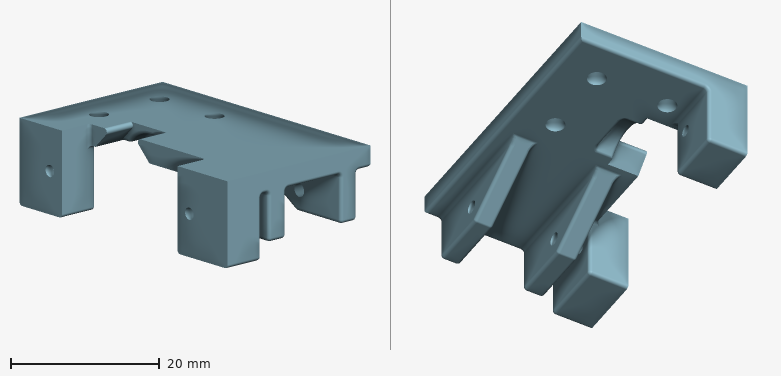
import cadquery as cq
import math


LENGTH = 41.7
WIDTH = 26.0
HEIGHT = 12.25
PLATE_THICKNESS = 3.0
PLATE_FRONT_Y = 5.05
LEG_BACK_Y = 6.15
LEFT_LEG_WIDTH = 8.5
RIGHT_LEG_WIDTH = 10.0
EDGE_RADIUS = 0.5

RIB_START_X = 21.55
RIB_FLAT_X = 32.65
RIB_DEPTH = 10.0
RIB_RANGES_Y = [(7.5, 10.65), (20.6, 23.52)]
RIB_HOLE_DIAMETER = 1.9
RIB_HOLE_X = 33.35
RIB_HOLE_DEPTH = 7.0

SLOT_CENTER_X = 15.05
SLOT_BACK_Y = 9.8
SLOT_BOTTOM_HALF_WIDTH = 5.42
SLOT_TOP_HALF_WIDTH = SLOT_BOTTOM_HALF_WIDTH - PLATE_THICKNESS
POCKET_RADIUS = 4.92
POCKET_AXIS_DEPTH = 6.0
POCKET_LENGTH = 3.0
POCKET_MOUTH_HALF_WIDTH = math.sqrt(POCKET_RADIUS**2 - (POCKET_AXIS_DEPTH - PLATE_THICKNESS) ** 2)

PLATE_HOLE_DIAMETER = 2.7
PLATE_HOLE_X = 6.0
PLATE_HOLE_Y = 9.0
PLATE_HOLE_SPACING = 11.0
LEG_HOLE_DIAMETER = 1.7
LEG_HOLE_XS = [6.1, 34.08]
LEG_HOLE_DEPTH = 6.17

SMALL_GAP = 0.05


def block(x_range, y_range, depth):
    """Box that hangs from the top face down to the given depth."""
    size_x = x_range[1] - x_range[0]
    size_y = y_range[1] - y_range[0]
    return (
        cq.Workplane("XY")
        .box(size_x, size_y, depth, centered=False)
        .translate((x_range[0], y_range[0], -depth))
    )


def along_y(y_start, y_end, sketch):
    """Extrude an XZ sketch from y_start to y_end."""
    plane = cq.Workplane("XZ", origin=(0, y_start, 0))
    return sketch(plane).extrude(y_start - y_end)


def edges_in(x_range, y_range, z_range):
    """Selector for edges whose centres lie inside the given ranges."""
    low, high = zip(x_range, y_range, z_range)
    return cq.selectors.BoxSelector(low, high)


def make_plate_and_legs():
    plate = block((0, LENGTH), (PLATE_FRONT_Y, WIDTH), PLATE_THICKNESS)
    left = block((0, LEFT_LEG_WIDTH), (0, LEG_BACK_Y), HEIGHT)
    right = block((LENGTH - RIGHT_LEG_WIDTH, LENGTH), (0, LEG_BACK_Y), HEIGHT)
    return plate.union(left).union(right)


def make_rib(y_start, y_end):
    def outline(plane):
        return plane.polyline([
            (RIB_START_X, -PLATE_THICKNESS),
            (RIB_FLAT_X, -RIB_DEPTH),
            (LENGTH, -RIB_DEPTH),
            (LENGTH, -PLATE_THICKNESS),
        ]).close()

    return along_y(y_start, y_end, outline)


def around(value):
    """Narrow range that holds one coordinate value."""
    return (value - SMALL_GAP, value + SMALL_GAP)


def around_width(center, half_width):
    """Range that reaches half_width to each side of center."""
    return (center - half_width, center + half_width)


def round_edges(solid, selectors, radius):
    """Fillet all selected edges together; an edge picked twice counts once."""
    chosen = solid.edges(selectors[0])
    for selector in selectors[1:]:
        chosen = chosen.add(solid.edges(selector))
    return chosen.fillet(radius)


def round_inner_corners(solid):
    bottom = around(-PLATE_THICKNESS)
    between_sides = (SMALL_GAP, LENGTH - SMALL_GAP)
    opening = (LEFT_LEG_WIDTH - SMALL_GAP, LENGTH - RIGHT_LEG_WIDTH + SMALL_GAP)
    leg_side_y = (PLATE_FRONT_Y + SMALL_GAP, LEG_BACK_Y - SMALL_GAP)
    selectors = [
        edges_in(around(x), around(PLATE_FRONT_Y), (-PLATE_THICKNESS, 0))
        for x in (LEFT_LEG_WIDTH, LENGTH - RIGHT_LEG_WIDTH)
    ]
    selectors.append(edges_in(between_sides, around(LEG_BACK_Y), bottom))
    selectors.append(edges_in(opening, leg_side_y, bottom))
    for y_start, y_end in RIB_RANGES_Y:
        selectors.append(edges_in(between_sides, (y_start - SMALL_GAP, y_end + SMALL_GAP), bottom))
    return round_edges(solid, selectors, EDGE_RADIUS)


def round_outer_edges(solid):
    full_x = (-SMALL_GAP, LENGTH + SMALL_GAP)
    behind_front = (SMALL_GAP, WIDTH + SMALL_GAP)
    behind_legs = (LEG_BACK_Y + EDGE_RADIUS + SMALL_GAP, WIDTH)
    below_plate = (-HEIGHT - SMALL_GAP, -PLATE_THICKNESS - EDGE_RADIUS - SMALL_GAP)
    lower_edges = (-HEIGHT - SMALL_GAP, -PLATE_THICKNESS + SMALL_GAP)
    selectors = [
        edges_in(around(0), behind_front, lower_edges),
        edges_in(around(LENGTH), behind_front, lower_edges),
        edges_in(full_x, around(WIDTH), around(-PLATE_THICKNESS)),
        edges_in(full_x, behind_front, around(-HEIGHT)),
        edges_in(full_x, around(LEG_BACK_Y), below_plate),
        edges_in((RIB_START_X, LENGTH + SMALL_GAP), behind_legs, below_plate),
    ]
    return round_edges(solid, selectors, EDGE_RADIUS)


def cut_slot(solid):
    def outline(plane):
        return plane.polyline([
            (SLOT_CENTER_X - SLOT_BOTTOM_HALF_WIDTH, -PLATE_THICKNESS),
            (SLOT_CENTER_X - SLOT_TOP_HALF_WIDTH, 0),
            (SLOT_CENTER_X + SLOT_TOP_HALF_WIDTH, 0),
            (SLOT_CENTER_X + SLOT_BOTTOM_HALF_WIDTH, -PLATE_THICKNESS),
        ]).close()

    slotted = solid.cut(along_y(PLATE_FRONT_Y, SLOT_BACK_Y, outline))
    slot_x = around_width(SLOT_CENTER_X, SLOT_BOTTOM_HALF_WIDTH)
    slot_y = (PLATE_FRONT_Y + SMALL_GAP, SLOT_BACK_Y - SMALL_GAP)
    return slotted.edges(edges_in(slot_x, slot_y, around(0))).fillet(EDGE_RADIUS)


def cut_pocket(solid):
    end_y = SLOT_BACK_Y + POCKET_LENGTH

    def outline(plane):
        return plane.center(SLOT_CENTER_X, -POCKET_AXIS_DEPTH).circle(POCKET_RADIUS)

    pocketed = solid.cut(along_y(SLOT_BACK_Y, end_y, outline))
    rim_x = (
        SLOT_CENTER_X - SLOT_BOTTOM_HALF_WIDTH,
        SLOT_CENTER_X + POCKET_MOUTH_HALF_WIDTH + SMALL_GAP,
    )
    pocket_x = around_width(SLOT_CENTER_X, SMALL_GAP)
    pocket_y = (SLOT_BACK_Y - SMALL_GAP, end_y + SMALL_GAP)
    selectors = [
        edges_in(rim_x, pocket_y, around(-PLATE_THICKNESS)),
        edges_in(pocket_x, pocket_y, (-PLATE_THICKNESS, 0)),
    ]
    return round_edges(pocketed, selectors, EDGE_RADIUS)


def pin_hole(x, depth, diameter, y_start, y_end):
    """Round bar along Y, used to cut a cross hole."""
    return along_y(y_start, y_end, lambda plane: plane.center(x, -depth).circle(diameter / 2))


def cut_holes(solid):
    corner = (PLATE_HOLE_X, PLATE_HOLE_Y)
    plate_holes = [
        corner,
        (PLATE_HOLE_X, PLATE_HOLE_Y + PLATE_HOLE_SPACING),
        (PLATE_HOLE_X + PLATE_HOLE_SPACING, PLATE_HOLE_Y + PLATE_HOLE_SPACING),
    ]
    plate_drills = cq.Workplane("XY").pushPoints(plate_holes).circle(PLATE_HOLE_DIAMETER / 2)
    drilled = solid.cut(plate_drills.extrude(-PLATE_THICKNESS))
    for x in LEG_HOLE_XS:
        drilled = drilled.cut(pin_hole(x, LEG_HOLE_DEPTH, LEG_HOLE_DIAMETER, 0, LEG_BACK_Y))
    return drilled.cut(pin_hole(RIB_HOLE_X, RIB_HOLE_DEPTH, RIB_HOLE_DIAMETER, LEG_BACK_Y, WIDTH))


body = make_plate_and_legs()
for y_start, y_end in RIB_RANGES_Y:
    body = body.union(make_rib(y_start, y_end))
body = round_inner_corners(body)
body = round_outer_edges(body)
body = cut_slot(body)
body = cut_pocket(body)
result = cut_holes(body)